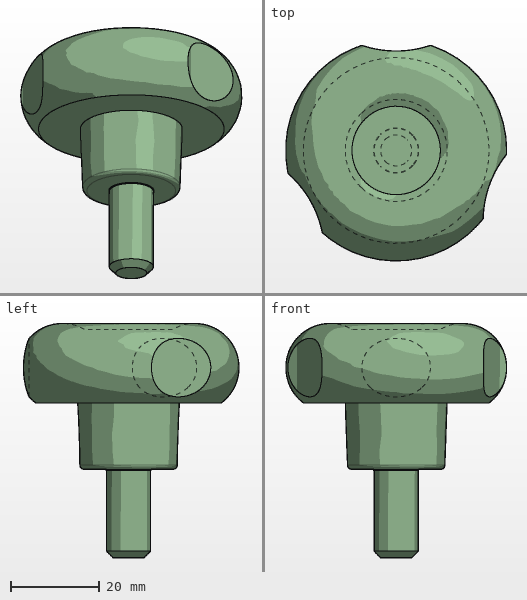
import cadquery as cq
import math

grip_radius = 25.0
rim_radius = 10.0
grip_height = 18.0
dish_radius = 10.0

hub_length = 15.0
hub_end_radius = 11.0
hub_draft_angle = 2.0
hub_edge_fillet = 1.0

collar_radius = 5.1
collar_length = 0.2

stud_radius = 5.0
stud_length = 20.0
stud_chamfer = 1.5

scallop_radius = 24.2
scallop_depth = 2.5
scallop_angles = (90.0, 210.0, 340.0)

underside_z = hub_length
top_z = underside_z + grip_height
rim_centre_z = top_z - rim_radius
rim_centre_radius = grip_radius - rim_radius


def rim_half_height(radius):
    """Height of the rim circle above its centre at a distance from the axis."""
    return math.sqrt(rim_radius**2 - (radius - rim_centre_radius) ** 2)


def make_grip():
    """Revolve the grip profile; one rim arc runs from the underside to the dish edge."""
    underside_drop = rim_centre_z - underside_z
    underside_radius = rim_centre_radius + math.sqrt(rim_radius**2 - underside_drop**2)
    dish_z = rim_centre_z + rim_half_height(dish_radius)
    return (
        cq.Workplane("XZ")
        .moveTo(0, underside_z)
        .lineTo(underside_radius, underside_z)
        .threePointArc((rim_centre_radius, top_z), (dish_radius, dish_z))
        .lineTo(0, dish_z)
        .close()
        .revolve(360, (0, 0, 0), (0, 1, 0))
    )


def make_hub():
    return (
        cq.Workplane("XY")
        .circle(hub_end_radius)
        .extrude(hub_length, taper=-hub_draft_angle)
        .faces("<Z")
        .edges()
        .fillet(hub_edge_fillet)
    )


def make_collar():
    return cq.Workplane("XY").circle(collar_radius).extrude(-collar_length)


def make_stud():
    return (
        cq.Workplane("XY")
        .circle(stud_radius)
        .extrude(-stud_length)
        .faces("<Z")
        .chamfer(stud_chamfer)
    )


def make_scallop_cutter(angle):
    """Upright cylinder that bites into the rim at the given angle about Z."""
    centre_distance = grip_radius - scallop_depth + scallop_radius
    return (
        cq.Workplane("XY", origin=(0, 0, underside_z))
        .center(centre_distance, 0)
        .circle(scallop_radius)
        .extrude(grip_height)
        .rotate((0, 0, 0), (0, 0, 1), angle)
    )


grip = make_grip()
for scallop_angle in scallop_angles:
    grip = grip.cut(make_scallop_cutter(scallop_angle))

result = grip.union(make_hub()).union(make_collar()).union(make_stud())